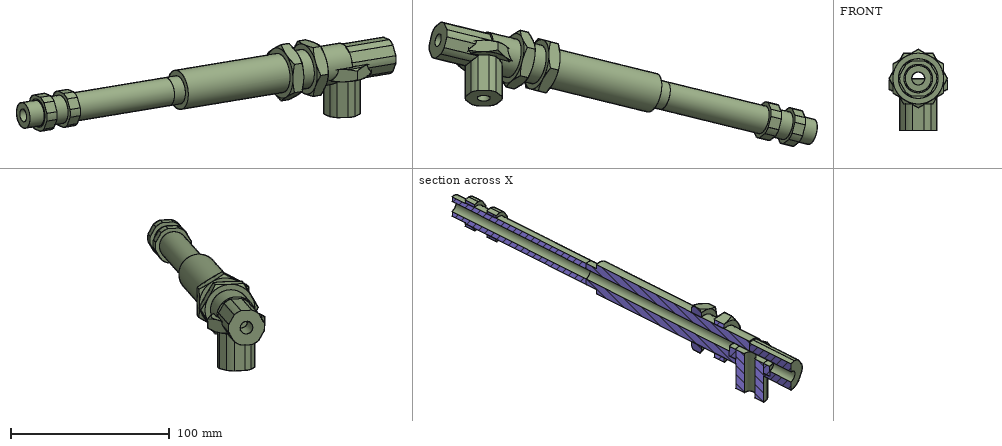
import cadquery as cq
import math

TOTAL_LENGTH = 269.0
TOTAL_HEIGHT = 51.5
BORE_DIAMETER = 8.0

ROD_DIAMETER = 18.0
TIP_DIAMETER = 16.5

BARREL_DIAMETER = 25.0
BARREL_FRONT = 114.5
NOSE_LENGTH = 8.0
ROD_END = BARREL_FRONT - NOSE_LENGTH

HEXAGON_HALF_ANGLE = math.pi / 6

NUT_ACROSS_FLATS = 32.0
NUT_CORNER_RADIUS = NUT_ACROSS_FLATS / 2 / math.cos(HEXAGON_HALF_ANGLE)
NUT_THICKNESS = 8.0
NUT_CHAMFER_ANGLE = 25.0
FRONT_NUT_START = 190.0
REAR_NUT_START = 208.0
CORNER_UP = 90.0
FLAT_UP = 0.0

SLEEVE_LENGTH = TOTAL_HEIGHT - NUT_CORNER_RADIUS
SLEEVE_ACROSS_FLATS = 22.3
SLEEVE_DIAMETER = 23.5
BRANCH_Y = TOTAL_LENGTH - SLEEVE_LENGTH

COLLAR_LENGTH = 7.5
FRONT_COLLAR_START = 10.5
COLLAR_PITCH = 17.2
COLLAR_STARTS = [FRONT_COLLAR_START, FRONT_COLLAR_START + COLLAR_PITCH]
TIP_LENGTH = FRONT_COLLAR_START


def cylinder(diameter, length, start=0.0):
    """Cylinder along Z, turned so that its seam lies on the Y axis, clear of the branch seat's edges."""
    blank = cq.Workplane("XY").workplane(offset=start).circle(diameter / 2).extrude(length)
    return blank.rotate((0, 0, 0), (0, 0, 1), 90)


def hexagon(across_flats, length):
    """Hexagonal prism along Z with two corners on the X axis."""
    across_corners = across_flats / math.cos(HEXAGON_HALF_ANGLE)
    return cq.Workplane("XY").polygon(6, across_corners).extrude(length)


def rounded_hexagon(length):
    """Hexagonal prism whose corners are cut back to a circle."""
    return hexagon(SLEEVE_ACROSS_FLATS, length).intersect(cylinder(SLEEVE_DIAMETER, length))


def along_y(body, start):
    """Turn a body from the Z axis onto the Y axis, keeping its X directions."""
    return body.rotate((0, 0, 0), (1, 0, 0), -90).translate((0, start, 0))


def hanging(body):
    """Turn a body upside down and hang it from the main axis at the branch."""
    return body.rotate((0, 0, 0), (1, 0, 0), 180).translate((0, BRANCH_Y, 0))


def make_sleeve():
    """Sleeve along Z with a through bore."""
    return rounded_hexagon(SLEEVE_LENGTH).cut(cylinder(BORE_DIAMETER, SLEEVE_LENGTH))


def make_nut():
    """Hexagon nut without its hole; a cone at each end chamfers the corners."""
    flat_radius = NUT_ACROSS_FLATS / 2
    chamfer = (NUT_CORNER_RADIUS - flat_radius) * math.tan(math.radians(NUT_CHAMFER_ANGLE))
    turned_blank = (
        cq.Workplane("YZ")
        .moveTo(0, 0)
        .lineTo(flat_radius, 0)
        .lineTo(NUT_CORNER_RADIUS, chamfer)
        .lineTo(NUT_CORNER_RADIUS, NUT_THICKNESS - chamfer)
        .lineTo(flat_radius, NUT_THICKNESS)
        .lineTo(0, NUT_THICKNESS)
        .close()
        .revolve(360, (0, 0, 0), (0, 1, 0))
    )
    return hexagon(NUT_ACROSS_FLATS, NUT_THICKNESS).intersect(turned_blank)


def make_barrel_nut(start, turn):
    """Nut around the barrel, turned about the main axis."""
    nut = make_nut().cut(cylinder(BARREL_DIAMETER, NUT_THICKNESS))
    return along_y(nut.rotate((0, 0, 0), (0, 0, 1), turn), start)


def make_branch_nut():
    """Nut around the top end of the hanging sleeve."""
    return hanging(make_nut().cut(rounded_hexagon(NUT_THICKNESS)))


def make_collar(start):
    """Ring around the rod."""
    return along_y(rounded_hexagon(COLLAR_LENGTH).cut(cylinder(ROD_DIAMETER, COLLAR_LENGTH)), start)


def make_rod():
    """Bored rod from the front tip to the barrel nose."""
    tip = cylinder(TIP_DIAMETER, TIP_LENGTH)
    shank = cylinder(ROD_DIAMETER, ROD_END - TIP_LENGTH, TIP_LENGTH)
    return along_y(tip.union(shank).cut(cylinder(BORE_DIAMETER, ROD_END)), 0)


def cut_branch_seat(body):
    """Recess a body on the main axis for the hanging sleeve and its nut."""
    return body.cut(hanging(make_nut())).cut(hanging(rounded_hexagon(SLEEVE_LENGTH)))


def make_barrel():
    """Bored barrel with its nose, recessed at the rear end for the branch."""
    barrel_length = BRANCH_Y - BARREL_FRONT
    nose = cylinder(ROD_DIAMETER, NOSE_LENGTH)
    tube = cylinder(BARREL_DIAMETER, barrel_length, NOSE_LENGTH)
    bore = cylinder(BORE_DIAMETER, NOSE_LENGTH + barrel_length)
    return cut_branch_seat(along_y(nose.union(tube).cut(bore), ROD_END))


def make_rear_sleeve():
    """Sleeve behind the barrel, recessed for the branch."""
    return cut_branch_seat(along_y(make_sleeve(), BRANCH_Y))


rod = make_rod()
barrel = make_barrel()
rear_sleeve = make_rear_sleeve()
hanging_sleeve = hanging(make_sleeve())
branch_nut = make_branch_nut()
barrel_nuts = [
    make_barrel_nut(start, turn)
    for start, turn in [(FRONT_NUT_START, CORNER_UP), (REAR_NUT_START, FLAT_UP)]
]
collars = [make_collar(start) for start in COLLAR_STARTS]

bodies = [rod, barrel, rear_sleeve, hanging_sleeve, branch_nut, *barrel_nuts, *collars]
result = cq.Compound.makeCompound([body.val() for body in bodies])